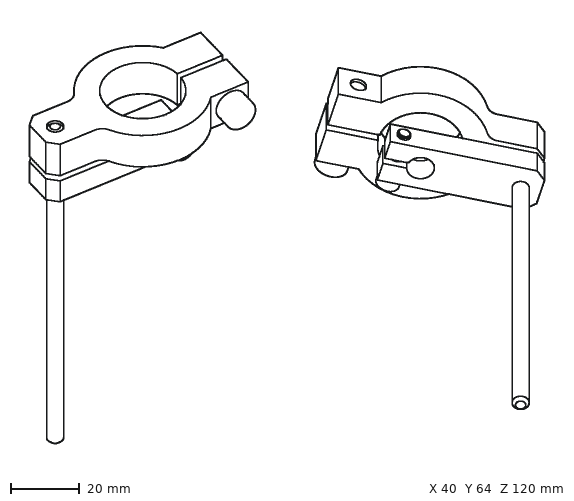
import cadquery as cq
import math

ROD_Y = -30.0
ARM_END_Y = -36.0
ARM_HALF_WIDTH = 7.5
ARM_CORNER = 3.0
SLOT_WIDTH = 2.0

RING_THICKNESS = 12.0
RING_RADIUS = 20.0
RING_BORE = 25.0
EAR_HALF_WIDTH = 13.0
EAR_END_Y = 28.0
NECK_FILLET = 4.0

CLAMP_GAP = 2.0
LOWER_THICKNESS = 8.0
LOWER_END_Y = 11.0
LOWER_BORE = 8.0
LOWER_TOP_Z = -RING_THICKNESS - CLAMP_GAP

ROD_DIAMETER = 5.0
ROD_LENGTH = 120.0
ROD_CHAMFER = 1.0

UPPER_SCREW_DIAMETER = 6.0
UPPER_SCREW_CORE = 4.8
UPPER_SCREW_LENGTH = 25.0
UPPER_HEAD_DIAMETER = 10.0
UPPER_SCREW_Y = 22.0
UPPER_SCREW_Z = -RING_THICKNESS / 2

LOWER_SCREW_DIAMETER = 4.0
LOWER_SCREW_CORE = 3.3
LOWER_SCREW_LENGTH = 16.0
LOWER_HEAD_DIAMETER = 7.0
LOWER_SCREW_Y = 7.0
LOWER_SCREW_Z = LOWER_TOP_Z - LOWER_THICKNESS / 2

HEAD_ROUNDING_RATIO = 0.1


def plate(half_width, start_y, end_y, top_z, thickness):
    """Flat bar centred on X = 0, hanging below top_z."""
    return (
        cq.Workplane("XY", origin=(0, (start_y + end_y) / 2, top_z))
        .rect(2 * half_width, end_y - start_y)
        .extrude(-thickness)
    )


def arm(end_y, top_z, thickness):
    """Bar reaching from the rod end, with its two outer corners chamfered, to end_y."""
    bar = plate(ARM_HALF_WIDTH, ARM_END_Y, end_y, top_z, thickness)
    return bar.edges("|Z and <Y").chamfer(ARM_CORNER)


def cut_bore_and_slot(body, bore, end_y, top_z, thickness):
    """Round bore on the ring axis, split open by a slot towards +Y."""
    hole = cq.Workplane("XY", origin=(0, 0, top_z)).circle(bore / 2).extrude(-thickness)
    slot = plate(SLOT_WIDTH / 2, 0, end_y, top_z, thickness)
    return body.cut(hole).cut(slot)


def fillet_neck(body):
    """Round the two inner corners where the arm meets the ring."""
    corner_y = -math.sqrt(RING_RADIUS**2 - ARM_HALF_WIDTH**2)
    for side in (-1, 1):
        corner = (side * ARM_HALF_WIDTH, corner_y, -RING_THICKNESS / 2)
        body = body.edges(cq.NearestToPointSelector(corner)).fillet(NECK_FILLET)
    return body


def clamp_ring():
    """Split ring with two clamping ears towards +Y and the rod arm towards -Y."""
    disc = cq.Workplane("XY").circle(RING_RADIUS).extrude(-RING_THICKNESS)
    body = fillet_neck(disc.union(arm(0, 0, RING_THICKNESS)))
    body = body.union(plate(EAR_HALF_WIDTH, 0, EAR_END_Y, 0, RING_THICKNESS))
    body = cut_bore_and_slot(body, RING_BORE, EAR_END_Y, 0, RING_THICKNESS)
    thread_hole = (
        cq.Workplane("YZ", origin=(-EAR_HALF_WIDTH, UPPER_SCREW_Y, UPPER_SCREW_Z))
        .circle(UPPER_SCREW_CORE / 2)
        .extrude(EAR_HALF_WIDTH)
    )
    return body.cut(thread_hole)


def lower_arm():
    """Bar hung below the ring, with its own split bore on the same axis."""
    body = arm(LOWER_END_Y, LOWER_TOP_Z, LOWER_THICKNESS)
    return cut_bore_and_slot(body, LOWER_BORE, LOWER_END_Y, LOWER_TOP_Z, LOWER_THICKNESS)


def plain_rod():
    """Rod without end chamfers, its top end level with the ring's top face."""
    return cq.Workplane("XY", origin=(0, ROD_Y, 0)).circle(ROD_DIAMETER / 2).extrude(-ROD_LENGTH)


def rod():
    return plain_rod().faces("<Z or >Z").chamfer(ROD_CHAMFER)


def screw(seat_x, y, z, diameter, core, length, head_diameter):
    """Cap screw along X with its head on the +X side; head height equals the thread diameter."""
    base = cq.Workplane("YZ", origin=(seat_x, y, z))
    head = base.circle(head_diameter / 2).extrude(diameter)
    head = head.faces(">X").edges().fillet(diameter * HEAD_ROUNDING_RATIO)
    shank = base.circle(diameter / 2).extrude(-length)
    shank = shank.faces("<X").chamfer((diameter - core) / 2)
    return head.union(shank)


upper_screw = screw(
    EAR_HALF_WIDTH, UPPER_SCREW_Y, UPPER_SCREW_Z,
    UPPER_SCREW_DIAMETER, UPPER_SCREW_CORE, UPPER_SCREW_LENGTH, UPPER_HEAD_DIAMETER,
)
lower_screw = screw(
    ARM_HALF_WIDTH, LOWER_SCREW_Y, LOWER_SCREW_Z,
    LOWER_SCREW_DIAMETER, LOWER_SCREW_CORE, LOWER_SCREW_LENGTH, LOWER_HEAD_DIAMETER,
)

clamps = clamp_ring().union(lower_arm()).cut(plain_rod())
result = clamps.union(rod()).union(upper_screw).union(lower_screw)